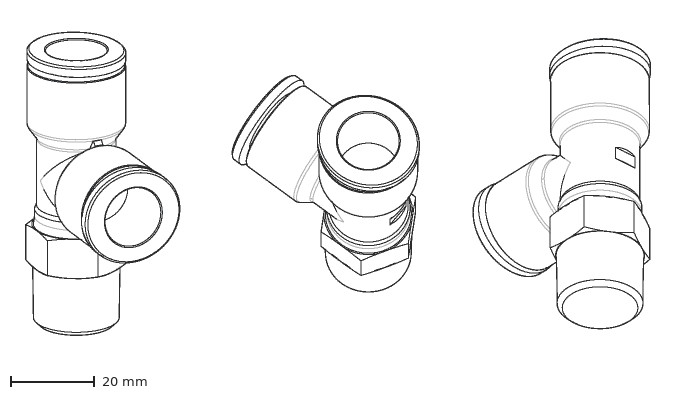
import cadquery as cq

total_height = 69.35
port_reach = 31.9
branch_height = total_height - port_reach

tube_radius = 9.5
socket_radius = 11.8
cone_start = 9.7
cone_end = 13.0
cone_fillet = 1.2
socket_end = 27.95
socket_edge_chamfer = 0.2
bore_radius = 7.35
bore_edge_chamfer = 0.3
bore_depth = 18.7

neck_radius = 8.5
collar_thickness = 2.5
collar_long_radius = 12.5
collar_short_radius = 11.65
collar_chamfer = 0.5

rib_width = 2.1
rib_reach = 12.7

recess_depth = 0.52
recess_floor_height = 3.2
recess_wall_slant = 0.35
recess_offset = 1.1

hex_bottom = 15.0
hex_top = 25.0
hex_across_corners = 24.3
hex_chamfer_radius = 10.6
hex_chamfer_height = 0.55
skirt_bottom_radius = 10.25
skirt_straight_bottom = 27.05
skirt_straight_top = 28.9
skirt_top = 29.95
skirt_radius = 10.0
thread_top_radius = 10.5
thread_bottom_radius = 10.25
thread_chamfer_height = 1.25
thread_end_radius = 9.0


def revolve_profile(points):
    """Revolve (radius, height) points about the Z axis."""
    return cq.Workplane("XZ").polyline(points).close().revolve(360, (0, 0, 0), (0, 1, 0))


def make_port():
    """Port along +Z from the origin, with the long side of its collar along X."""
    body = revolve_profile([
        (0, 0),
        (tube_radius, 0),
        (tube_radius, cone_start),
        (socket_radius, cone_end),
        (socket_radius, socket_end),
        (0, socket_end),
    ])
    body = body.faces("%CONE").edges("%CIRCLE").fillet(cone_fillet)
    body = body.faces(">Z").edges().chamfer(socket_edge_chamfer)

    neck = cq.Workplane("XY").circle(neck_radius).extrude(port_reach - collar_thickness)
    collar = (
        cq.Workplane("XY")
        .workplane(offset=port_reach - collar_thickness)
        .ellipse(collar_long_radius, collar_short_radius)
        .extrude(collar_thickness)
        .faces(">Z").edges().chamfer(collar_chamfer)
    )
    return body.union(neck).union(collar)


def make_bore():
    """Blind tube bore of a port along +Z, widened at its mouth."""
    bore_floor = port_reach - bore_depth
    return revolve_profile([
        (0, bore_floor),
        (bore_radius, bore_floor),
        (bore_radius, port_reach - bore_edge_chamfer),
        (bore_radius + bore_edge_chamfer, port_reach),
        (0, port_reach),
    ])


def to_main(shape):
    """Place a port shape at the top of the vertical axis."""
    return shape.translate((0, 0, branch_height))


def to_branch(shape):
    """Place a port shape on the +X branch, with its collar's long side along Y."""
    quarter_turn = shape.rotate((0, 0, 0), (0, 0, 1), 90)
    return quarter_turn.rotate((0, 0, 0), (0, 1, 0), 90).translate((0, 0, branch_height))


def make_rib():
    """Flat rib filling the corner between the sockets, with its tip cut off."""
    return (
        cq.Workplane("XZ")
        .polyline([
            (0, 0),
            (rib_reach, 0),
            (rib_reach, socket_radius),
            (socket_radius, rib_reach),
            (0, rib_reach),
        ])
        .close()
        .extrude(rib_width / 2, both=True)
        .translate((0, 0, branch_height))
    )


def make_recess():
    """Shallow flat-floored cutter with slanted upper and lower walls."""
    floor_x = recess_depth - tube_radius
    half_floor = recess_floor_height / 2
    half_mouth = half_floor + recess_wall_slant
    return (
        cq.Workplane("XZ")
        .polyline([
            (floor_x, -half_floor),
            (floor_x, half_floor),
            (-tube_radius, half_mouth),
            (-tube_radius, -half_mouth),
        ])
        .close()
        .extrude(tube_radius, both=True)
        .translate((0, 0, branch_height + recess_offset))
    )


def make_stem():
    """Tapered thread blank, and the skirt and tube that join it to the tee centre."""
    return revolve_profile([
        (0, 0),
        (thread_end_radius, 0),
        (thread_bottom_radius, thread_chamfer_height),
        (thread_top_radius, hex_bottom),
        (skirt_bottom_radius, hex_top),
        (skirt_radius, skirt_straight_bottom),
        (skirt_radius, skirt_straight_top),
        (tube_radius, skirt_top),
        (tube_radius, branch_height),
        (0, branch_height),
    ])


def make_hex():
    """Hexagon with two corners on the X axis and turned-down corners at both ends."""
    corner_radius = hex_across_corners / 2
    prism = (
        cq.Workplane("XY")
        .workplane(offset=hex_bottom)
        .polygon(6, hex_across_corners)
        .extrude(hex_top - hex_bottom)
    )
    turned_envelope = revolve_profile([
        (0, hex_bottom),
        (hex_chamfer_radius, hex_bottom),
        (corner_radius, hex_bottom + hex_chamfer_height),
        (corner_radius, hex_top - hex_chamfer_height),
        (hex_chamfer_radius, hex_top),
        (0, hex_top),
    ])
    return prism.intersect(turned_envelope)


port = make_port()
bore = make_bore()

result = (
    make_stem()
    .union(make_hex())
    .union(to_main(port))
    .union(to_branch(port))
    .union(make_rib())
    .cut(to_main(bore))
    .cut(to_branch(bore))
    .cut(make_recess())
)